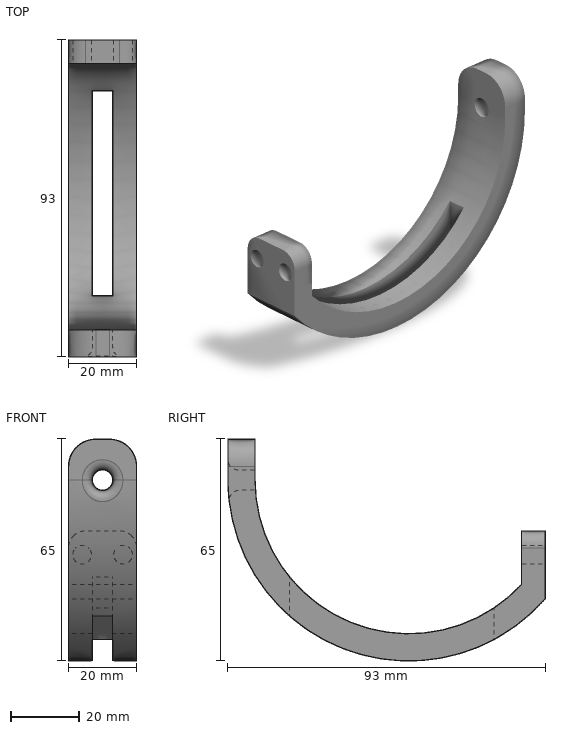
import cadquery as cq
import math

width = 20.0
outer_radius = 53.0
wall = 8.0
inner_radius = outer_radius - wall
front_top = 12.0
front_corner = 8.0
back_face = 93.0 - outer_radius
back_thickness = 7.0
back_top = -14.9
back_corner = 5.0
slot_width = 5.95
slot_front = -35.0
slot_back = 25.0
bore_diameter = 5.95
flare_radius = 3.0
back_hole_diameter = 5.5
back_hole_spacing = 12.0
back_hole_drop = 7.0


def circle_bottom(radius, y):
    """Height of the lower half of a circle about the arc axis."""
    return -math.sqrt(radius**2 - y**2)


def arc_middle(radius, y_end):
    """Point halfway along the arc from the front (-Y) to its lower point at y_end."""
    end_angle = math.atan2(circle_bottom(radius, y_end), y_end)
    angle = (end_angle - math.pi) / 2
    return radius * math.cos(angle), radius * math.sin(angle)


def body():
    back_inside = back_face - back_thickness
    profile = (
        cq.Workplane("YZ")
        .moveTo(-outer_radius, front_top)
        .lineTo(-outer_radius, 0)
        .threePointArc(
            arc_middle(outer_radius, back_face),
            (back_face, circle_bottom(outer_radius, back_face)),
        )
        .lineTo(back_face, back_top)
        .lineTo(back_inside, back_top)
        .lineTo(back_inside, circle_bottom(inner_radius, back_inside))
        .threePointArc(arc_middle(inner_radius, back_inside), (-inner_radius, 0))
        .lineTo(-inner_radius, front_top)
        .close()
    )
    solid = profile.extrude(width / 2, both=True)
    solid = solid.faces(">Z").edges("|Y").fillet(front_corner)
    back_top_box = cq.selectors.BoxSelector(
        (-width, back_inside, back_top - back_corner),
        (width, back_face, back_top + back_corner),
    )
    return solid.edges(back_top_box).edges("|Y").fillet(back_corner)


def slot():
    length = slot_back - slot_front
    return (
        cq.Workplane("XY", origin=(0, (slot_front + slot_back) / 2, -outer_radius))
        .rect(slot_width, length)
        .extrude(outer_radius)
    )


def with_flared_bore(solid):
    """Drill the front lug along Y and round the outer mouth of the bore."""
    bore = (
        cq.Workplane("XZ", origin=(0, -inner_radius + wall / 2, 0))
        .circle(bore_diameter / 2)
        .extrude(2 * wall)
    )
    reach = bore_diameter
    mouth_box = cq.selectors.BoxSelector(
        (-reach, -outer_radius - wall / 2, -reach),
        (reach, -outer_radius + wall / 2, reach),
    )
    return solid.cut(bore).edges(mouth_box).edges("not |Y").fillet(flare_radius)


def back_holes():
    half_spacing = back_hole_spacing / 2
    return (
        cq.Workplane("XZ", origin=(0, back_face, back_top - back_hole_drop))
        .pushPoints([(-half_spacing, 0), (half_spacing, 0)])
        .circle(back_hole_diameter / 2)
        .extrude(back_thickness)
    )


result = with_flared_bore(body()).cut(slot()).cut(back_holes())